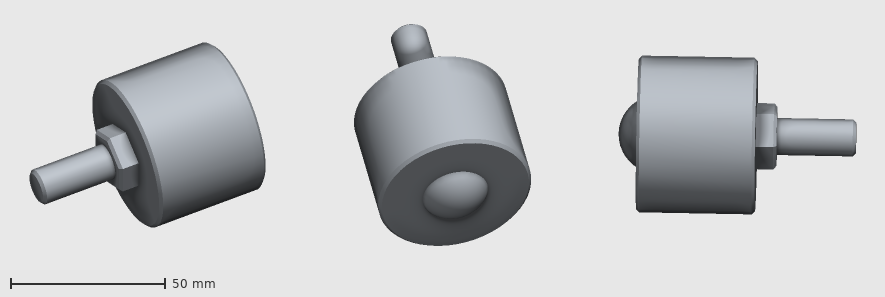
import cadquery as cq
import math

overall_length = 77.0
body_diameter = 50.8
body_length = 38.5
hex_across_flats = 18.95
hex_length = 6.7
stud_diameter = 12.0
edge_chamfer = 1.0
ball_radius = 12.7
ball_protrusion = 6.15

stud_length = overall_length - ball_protrusion - body_length - hex_length
hex_corner_diameter = hex_across_flats / math.cos(math.pi / 6)

toward_stud = cq.Workplane("XZ")


def make_body():
    body = toward_stud.circle(body_diameter / 2).extrude(-body_length)
    return body.edges().chamfer(edge_chamfer)


def make_ball():
    center_y = body_length + ball_protrusion - ball_radius
    return cq.Workplane("XY").sphere(ball_radius).translate((0, center_y, 0))


def make_hex():
    prism = toward_stud.transformed(rotate=(0, 0, 90)).polygon(6, hex_corner_diameter).extrude(hex_length)
    return prism.faces("<Y").edges().chamfer(edge_chamfer)


def make_stud():
    stud = toward_stud.workplane(offset=hex_length).circle(stud_diameter / 2).extrude(stud_length)
    return stud.faces("<Y").edges().chamfer(edge_chamfer)


result = make_body().union(make_ball()).union(make_hex()).union(make_stud())